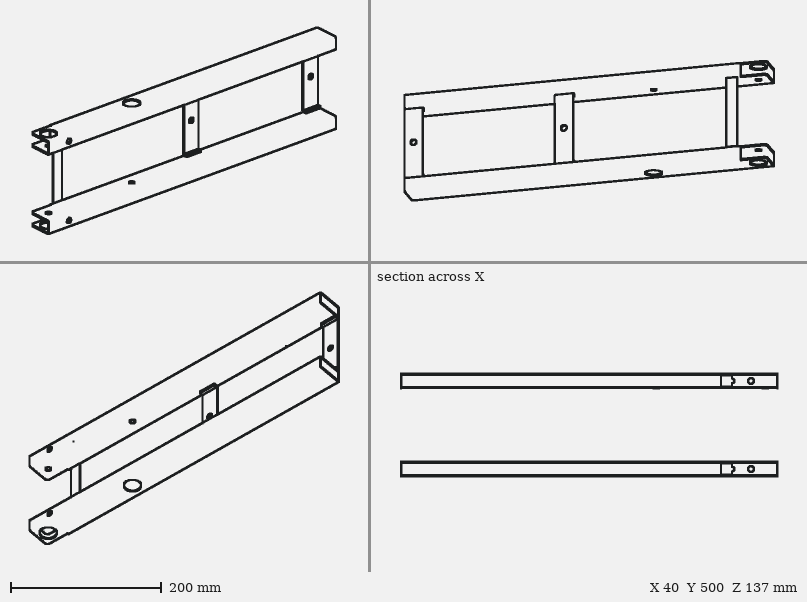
import cadquery as cq

length = 500.0
width = 40.0
frame_height = 137.0

rail_height = 20.0
wall = 2.0
bend_radius = 2.5

mouth_length = 35.0
mouth_depth = 3.0
tip_chamfer = 3.0

bolt_hole_ys = (16.0, 161.0)
bolt_diameter = 7.5
access_diameter = 23.0
side_hole_diameter = 7.5

pad_thickness = 3.0
pad_length = 15.0
pad_height = 15.0
pad_y = 60.0
nose_diameter = 6.0

strap_thickness = 3.0
strap_width = 25.0
strap_lip = 8.0
strap_bend_radius = 3.0
strap_hole_diameter = 8.0
strap_ys = (267.0, length - strap_width)

bar_width = 15.0
bar_thickness = 2.0
bar_y = 40.0

mid_x = width / 2
mid_z = frame_height / 2
inner_face_x = width - wall
rail_mid_z = rail_height / 2
rail_gap = frame_height - 2 * rail_height


def block(size_x, size_y, size_z, corner):
    """Box with its lowest corner at the given point."""
    return cq.Workplane("XY").box(size_x, size_y, size_z, centered=False).translate(corner)


def cylinder_x(diameter, start_x, end_x, y, z):
    """Cylinder along X."""
    return cq.Workplane("YZ", origin=(start_x, y, z)).circle(diameter / 2).extrude(end_x - start_x)


def cylinder_z(diameter, start_z, end_z, y):
    """Cylinder along Z on the middle of the rail width."""
    return cq.Workplane("XY", origin=(mid_x, y, start_z)).circle(diameter / 2).extrude(end_z - start_z)


def make_tube():
    """Rounded rectangular tube resting on Z = 0."""
    outside = block(width, length, rail_height, (0, 0, 0)).edges("|Y").fillet(bend_radius)
    inside = block(width - 2 * wall, length, rail_height - 2 * wall, (wall, 0, wall))
    return outside.cut(inside.edges("|Y").fillet(bend_radius - wall))


def open_mouth(rail):
    """Remove the -X wall at the front end and chamfer the free corners."""
    rail = rail.cut(block(mouth_depth, mouth_length, rail_height, (0, 0, 0)))
    tip_zone = cq.selectors.BoxSelector((0, -wall, 0), (2 * mouth_depth, wall, rail_height))
    return rail.edges("|Z").edges(tip_zone).chamfer(tip_chamfer)


def drill_rail(rail):
    """Bolt holes with their access holes, and the hole in the +X wall."""
    for y in bolt_hole_ys:
        rail = rail.cut(cylinder_z(access_diameter, 0, rail_mid_z, y))
        rail = rail.cut(cylinder_z(bolt_diameter, rail_mid_z, rail_height, y))
    return rail.cut(cylinder_x(side_hole_diameter, mid_x, width, mouth_length, rail_mid_z))


def make_pad():
    """Pad inside the lower rail, with a round nose on its front end."""
    start_x = inner_face_x - pad_thickness
    pad = block(pad_thickness, pad_length, pad_height, (start_x, pad_y, rail_mid_z - pad_height / 2))
    return pad.union(cylinder_x(nose_diameter, start_x, inner_face_x, pad_y, rail_mid_z))


def make_strap(y):
    """Channel-shaped strap with its lips lying on both rails."""
    outside = block(strap_lip, strap_width, rail_gap, (0, y, rail_height))
    outside = outside.edges("|Y and <X").fillet(strap_bend_radius)
    inside_height = rail_gap - 2 * strap_thickness
    inside_corner = (strap_thickness, y, rail_height + strap_thickness)
    inside = block(strap_lip, strap_width, inside_height, inside_corner)
    hole = cylinder_x(strap_hole_diameter, 0, strap_thickness, y + strap_width / 2, mid_z)
    return outside.cut(inside).cut(hole)


def make_frame():
    """Two mirrored rails joined by the straps."""
    lower_rail = drill_rail(open_mouth(make_tube())).union(make_pad())
    upper_rail = lower_rail.mirror("XY", (0, 0, mid_z))
    frame = lower_rail
    for y in strap_ys:
        frame = frame.union(make_strap(y))
    return frame.union(upper_rail)


def make_front_bar():
    """Flat bar standing between the rails, behind the mouths."""
    return block(bar_thickness, bar_width, rail_gap, (0, bar_y, rail_height))


frame = make_frame()
front_bar = make_front_bar()

result = cq.Compound.makeCompound([frame.solids().val(), front_bar.val()])